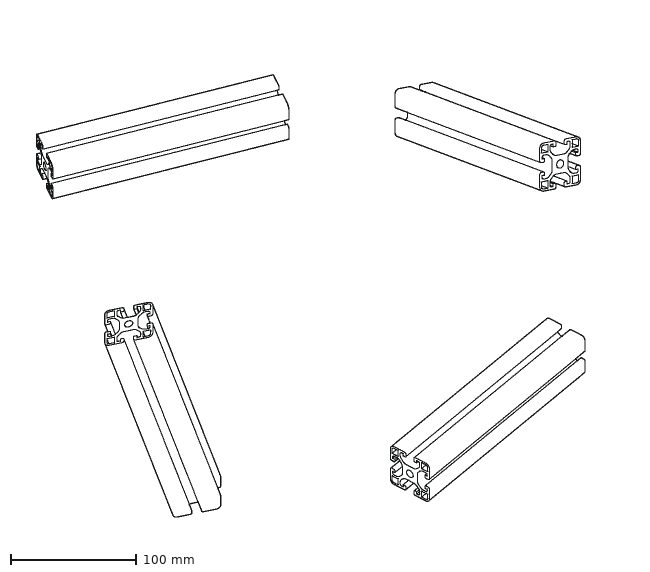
import cadquery as cq
import math

side = 40.0
length = 200.0
half_side = side / 2
corner_radius = 4.0

mouth_half_width = 4.0
lip_depth = 4.7
lip_inner_offset = 6.95
flange_thickness = 2.4
cavity_half_width = 9.9
core_half_width = 7.75
web_offset = 2.2

lip_outer_radius = 1.65
lip_inner_radius = 1.05
cavity_top_radius = 1.7
web_radius = 4.5

chamber_wall = 1.85
chamber_inner_offset = 11.95
chamber_radius = 1.95
bore_diameter = 6.8

quarter_turns = 4


def turned(point, turns):
    """Rotate a section point clockwise about the centre by quarter turns."""
    x, z = point
    for _ in range(turns):
        x, z = z, -x
    return x, z


def rounded_outline(corners):
    """Closed wire through (point, radius) corners; a zero radius stays sharp."""
    arcs = []
    for index, (point, radius) in enumerate(corners):
        corner = cq.Vector(*point)
        before = (cq.Vector(*corners[index - 1][0]) - corner).normalized()
        after = (cq.Vector(*corners[(index + 1) % len(corners)][0]) - corner).normalized()
        half_angle = before.getAngle(after) / 2
        setback = radius / math.tan(half_angle)
        bisector = (before + after).normalized()
        middle = corner + bisector * (radius / math.sin(half_angle) - radius)
        arcs.append((corner + before * setback, middle, corner + after * setback, radius))

    outline = cq.Workplane("XZ").moveTo(*arcs[0][2].toTuple()[:2])
    for start, middle, end, radius in arcs[1:] + arcs[:1]:
        outline = outline.lineTo(start.x, start.y)
        if radius > 0:
            outline = outline.threePointArc((middle.x, middle.y), (end.x, end.y))
    return outline.close()


def extruded(outline):
    """Extrude a section outline along Y, centred on the origin."""
    return outline.extrude(length / 2, both=True)


def outer_corners():
    """Corners of the whole outer contour: four slots joined by rounded corners."""
    lip_height = half_side - lip_depth
    ceiling_height = half_side - flange_thickness
    half_slot = [
        ((core_half_width - web_offset, core_half_width), web_radius),
        ((cavity_half_width, cavity_half_width + web_offset), web_radius),
        ((cavity_half_width, ceiling_height), cavity_top_radius),
        ((lip_inner_offset, ceiling_height), 0),
        ((lip_inner_offset, lip_height), 0),
        ((mouth_half_width, lip_height), lip_inner_radius),
        ((mouth_half_width, half_side), lip_outer_radius),
    ]
    mirrored_half = [((-x, z), radius) for (x, z), radius in reversed(half_slot)]
    profile_corner = [((half_side, half_side), corner_radius)]
    one_side = mirrored_half + half_slot + profile_corner
    return [
        (turned(point, turns), radius)
        for turns in range(quarter_turns)
        for point, radius in one_side
    ]


def corner_chamber(turns):
    """Hollow chamber in one profile corner, rounded on its outer corner."""
    near = chamber_inner_offset
    far = half_side - chamber_wall
    corners = [
        ((near, near), 0),
        ((near, far), 0),
        ((far, far), chamber_radius),
        ((far, near), 0),
    ]
    turned_corners = [(turned(point, turns), radius) for point, radius in corners]
    return extruded(rounded_outline(turned_corners))


result = extruded(rounded_outline(outer_corners()))
for quarter in range(quarter_turns):
    result = result.cut(corner_chamber(quarter))
result = result.cut(extruded(cq.Workplane("XZ").circle(bore_diameter / 2)))